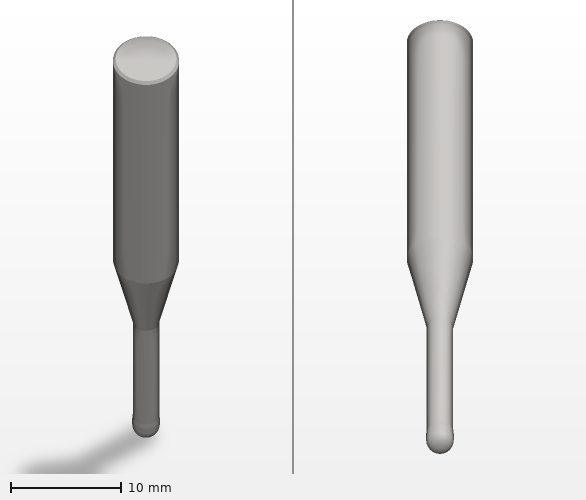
import cadquery as cq
import math

total_length = 50.0
shank_radius = 3.0
shank_chamfer = 0.25
ball_radius = 1.25
neck_radius = 1.2

cutting_length = 2.0
neck_start = 2.5
neck_end = 15.0
shank_start = 23.25


def make_cutting_head():
    """Hemispherical tip continued by a short cylinder."""
    arc_offset = ball_radius * math.sin(math.radians(45))
    return (
        cq.Workplane("XZ")
        .moveTo(0, 0)
        .threePointArc((arc_offset, ball_radius - arc_offset), (ball_radius, ball_radius))
        .lineTo(ball_radius, cutting_length)
        .lineTo(0, cutting_length)
        .close()
        .revolve(360, (0, 0, 0), (0, 1, 0))
    )


def make_shank():
    """Relief taper, slim neck, long cone and chamfered shank, seated on the cutting head."""
    return (
        cq.Workplane("XZ")
        .moveTo(0, cutting_length)
        .lineTo(ball_radius, cutting_length)
        .lineTo(neck_radius, neck_start)
        .lineTo(neck_radius, neck_end)
        .lineTo(shank_radius, shank_start)
        .lineTo(shank_radius, total_length - shank_chamfer)
        .lineTo(shank_radius - shank_chamfer, total_length)
        .lineTo(0, total_length)
        .close()
        .revolve(360, (0, 0, 0), (0, 1, 0))
    )


cutting_head = make_cutting_head()
shank = make_shank()

result = cq.Compound.makeCompound([cutting_head.val(), shank.val()])